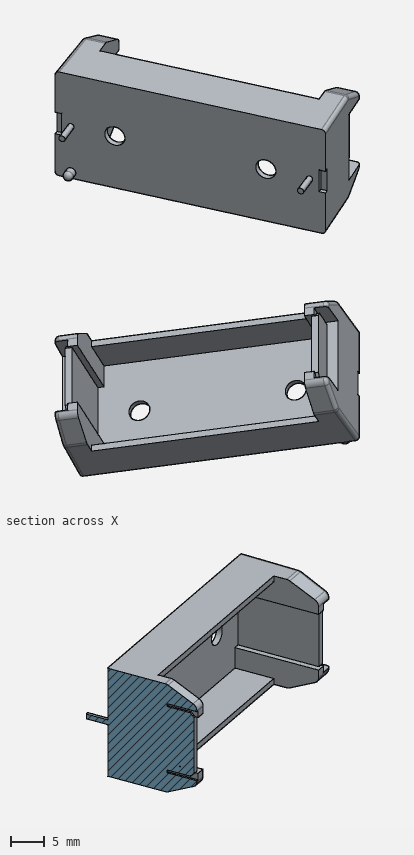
import cadquery as cq

length = 43.2
width = 18.3
height = 15.2
end_draft = 0.5
edge_radius = 0.65

shoulder_height = 10.05
shoulder_top_width = 13.4
shoulder_radius = 1.15

bay_length = 34.98
wall_thickness = 1.0
bay_width = width - 2 * wall_thickness
side_wall_height = 7.6

contact_slot_width = 9.4
contact_slot_depth = 0.95
contact_top = 14.72
end_recess_width = 11.57
end_recess_bottom = 10.15
end_recess_floor = 19.0
contact_width = 10.8
contact_face = 19.5
contact_corner = 0.7

hole_diameter = 3.2
hole_offset = 12.05
pin_diameter = 1.0
pin_length = 3.6
pin_offset = 19.05
notch_depth = 1.05
notch_width = 3.8
notch_height = 0.7
nub_radius = 0.78
nub_length = 1.8
nub_z = -8.07


def block(x_from, x_to, y_from, y_to, z_width):
    """Box between two X and two Y positions, centred on Z = 0."""
    return (
        cq.Workplane("XY")
        .box(x_to - x_from, y_to - y_from, z_width)
        .translate(((x_from + x_to) / 2, (y_from + y_to) / 2, 0))
    )


def along_y(x, z, radius, y_from, y_to):
    """Cylinder parallel to Y."""
    axis = cq.Vector(0, 1, 0)
    start = cq.Vector(x, y_from, z)
    return cq.Workplane(cq.Solid.makeCylinder(radius, y_to - y_from, start, axis))


def both_ends(feature):
    """The feature at +X together with its mirror image at -X."""
    return feature.union(feature.mirror("YZ"))


def make_body():
    """Tapered block with narrowed shoulders and rounded end edges."""
    half_length = length / 2
    half_width = width / 2
    tapered = (
        cq.Workplane("XY")
        .polyline([
            (-half_length, 0),
            (half_length, 0),
            (half_length - end_draft, height),
            (-half_length + end_draft, height),
        ])
        .close()
        .extrude(half_width, both=True)
    )
    shouldered = (
        cq.Workplane("YZ")
        .polyline([
            (0, -half_width),
            (shoulder_height, -half_width),
            (height, -shoulder_top_width / 2),
            (height, shoulder_top_width / 2),
            (shoulder_height, half_width),
            (0, half_width),
        ])
        .close()
        .extrude(half_length, both=True)
        .edges("|X and (not <Y)")
        .fillet(shoulder_radius)
    )
    body = tapered.intersect(shouldered)
    return body.faces("<X or >X").edges("not <Y").fillet(edge_radius)


def make_bay():
    """Space for the battery, open upwards and above the side walls."""
    half_bay = bay_length / 2
    bay = block(-half_bay, half_bay, wall_thickness, height, bay_width)
    above_walls = block(-half_bay, half_bay, side_wall_height, height, width)
    return bay.union(above_walls)


result = make_body().cut(make_bay())

slot_end = bay_length / 2 + contact_slot_depth
slot = block(bay_length / 2, slot_end, wall_thickness, height, contact_slot_width)
recess = block(end_recess_floor, length / 2, end_recess_bottom, height, end_recess_width)
opening = block(slot_end, length / 2, contact_top, height, contact_slot_width)
result = result.cut(both_ends(slot.union(recess).union(opening)))

contact = (
    block(slot_end, contact_face, end_recess_bottom, contact_top, contact_width)
    .edges("|X and >Y")
    .chamfer(contact_corner)
)
result = result.union(both_ends(contact))

hole = along_y(hole_offset, 0, hole_diameter / 2, 0, wall_thickness)
notch = block(length / 2 - notch_depth, length / 2, 0, notch_height, notch_width)
result = result.cut(both_ends(hole.union(notch)))

pin = along_y(pin_offset, 0, pin_diameter / 2, -pin_length, wall_thickness)
result = result.union(both_ends(pin))

nub_center = nub_radius - nub_length
nub = along_y(-pin_offset, nub_z, nub_radius, nub_center, 0)
nub_tip = cq.Workplane("XY").sphere(nub_radius).translate((-pin_offset, nub_center, nub_z))
result = result.union(nub.union(nub_tip))